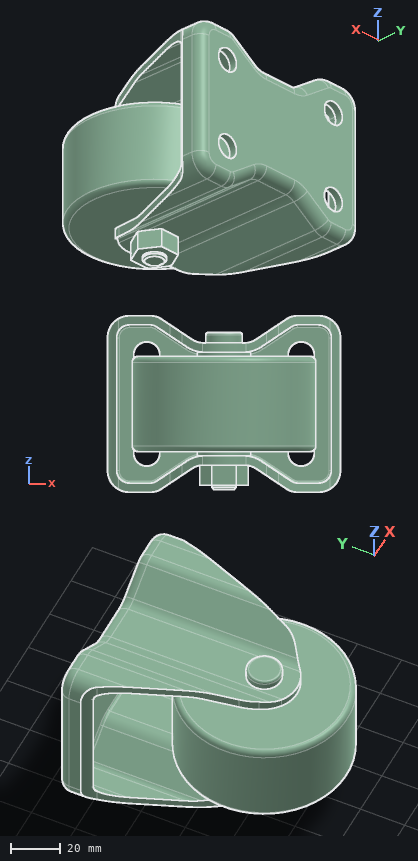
import cadquery as cq
import math


wheel_radius = 37.5
wheel_width = 39.0
wheel_edge_radius = 2.5
hub_radius = 10.9

bracket_length = 95.0
bracket_height = 72.0
waist_height = 49.9
sheet_thickness = 3.8
shoulder_x = 27.5
waist_x = 10.9
corner_radius = 9.0
shoulder_radius = 8.0
waist_radius = 8.5

plate_y = 108.0 - wheel_radius
back_edge_radius = 5.0
inner_edge_radius = 1.0

tip_radius = 14.9
tip_slope = math.radians(36.9)
flare_y = 61.8
flare_x = 45.8
flare_radius = 10.8
knee_x = 20.6
knee_radius = 15.0

hole_diameter = 10.6
hole_spacing_x = 63.0
hole_spacing_z = 40.0

bolt_head_radius = 7.5
bolt_head_height = 4.2
bolt_head_edge_radius = 1.0
nut_corner_diameter = 19.9
nut_height = 8.2
thread_radius = 5.0
thread_overhang = 1.7
thread_chamfer = 0.9

half_length = bracket_length / 2
half_height = bracket_height / 2
half_waist = waist_height / 2
hub_width = waist_height - 2 * sheet_thickness


def toward(start, end, distance):
    """Point at the given distance from start on the way to end."""
    length = math.hypot(end[0] - start[0], end[1] - start[1])
    return tuple(a + (b - a) * distance / length for a, b in zip(start, end))


def rounded_polygon(plane, corners):
    """Closed wire through (x, y, radius) corners, each rounded by a tangent arc if its radius is not 0."""
    arcs = []
    for i, (x, y, radius) in enumerate(corners):
        corner = (x, y)
        before = corners[i - 1][:2]
        after = corners[(i + 1) % len(corners)][:2]
        if radius == 0:
            arcs.append((corner, None, corner))
            continue
        unit_before = toward(corner, before, 1.1)
        unit_after = toward(corner, after, 1.1)
        half_chord = math.dist(unit_before, unit_after) / 2.2
        half_angle = math.asin(half_chord)
        setback = radius / math.tan(half_angle)
        bisector = ((unit_before[0] + unit_after[0]) / 2, (unit_before[1] + unit_after[1]) / 2)
        middle = toward(corner, bisector, radius / math.sin(half_angle) - radius)
        arcs.append((toward(corner, before, setback), middle, toward(corner, after, setback)))
    outline = cq.Workplane(plane).moveTo(*arcs[0][2])
    for start, middle, end in arcs[1:] + arcs[:1]:
        outline = outline.lineTo(*start)
        if middle:
            outline = outline.threePointArc(middle, end)
    return outline.close()


def cylinder(radius, z_low, z_high):
    return cq.Workplane("XY").workplane(offset=z_low).circle(radius).extrude(z_high - z_low)


def bracket_section():
    """Butterfly outline of the bracket, drawn on the outside of the mounting plate."""
    upper = [
        (half_length, half_height, corner_radius),
        (shoulder_x, half_height, shoulder_radius),
        (waist_x, half_waist, waist_radius),
        (-waist_x, half_waist, waist_radius),
        (-shoulder_x, half_height, shoulder_radius),
        (-half_length, half_height, corner_radius),
    ]
    lower = [(-x, -z, radius) for x, z, radius in upper]
    plane = cq.Plane(origin=(0, plate_y, 0), xDir=(1, 0, 0), normal=(0, -1, 0))
    return rounded_polygon(plane, upper + lower)


def flange_profile():
    """Side shape of the bracket: flared at the plate, tapering to a tip around the axle."""
    tip_y = -tip_radius / math.cos(tip_slope)
    knee_y = tip_y + knee_x * math.tan(tip_slope)
    right = [
        (knee_x, knee_y, knee_radius),
        (flare_x, flare_y, flare_radius),
        (bracket_length, flare_y, 0),
        (bracket_length, plate_y, 0),
    ]
    left = [(-x, y, radius) for x, y, radius in reversed(right)]
    profile = rounded_polygon("XY", [(0, tip_y, tip_radius)] + right + left)
    return profile.extrude(half_height, both=True)


def make_bracket():
    depth = plate_y + tip_radius
    outer = bracket_section().extrude(depth).faces(">Y").edges().fillet(back_edge_radius)
    cavity = bracket_section().offset2D(-sheet_thickness).extrude(depth)
    cavity = cavity.translate((0, -sheet_thickness, 0))
    cavity = cavity.faces(">Y").edges().fillet(inner_edge_radius)
    holes = (
        cq.Workplane("XZ", origin=(0, plate_y, 0))
        .rarray(hole_spacing_x, hole_spacing_z, 2, 2)
        .circle(hole_diameter / 2)
        .extrude(sheet_thickness)
    )
    return outer.cut(cavity).intersect(flange_profile()).cut(holes)


def make_wheel():
    tread = cylinder(wheel_radius, -wheel_width / 2, wheel_width / 2).edges().fillet(wheel_edge_radius)
    hub = cylinder(hub_radius, -hub_width / 2, hub_width / 2)
    return tread.union(hub)


def make_bolt():
    """Round head on top, hexagonal nut and thread end below; the shank runs through the hub."""
    head_top = half_waist + bolt_head_height
    nut_bottom = -half_waist - nut_height
    head = cylinder(bolt_head_radius, half_waist, head_top)
    head = head.faces(">Z").edges().fillet(bolt_head_edge_radius)
    nut = cq.Workplane("XY").workplane(offset=nut_bottom).polygon(6, nut_corner_diameter).extrude(nut_height)
    shank = cylinder(thread_radius, nut_bottom - thread_overhang, half_waist)
    shank = shank.faces("<Z").edges().chamfer(thread_chamfer)
    return head.union(nut).union(shank)


result = make_bracket().union(make_wheel()).union(make_bolt())